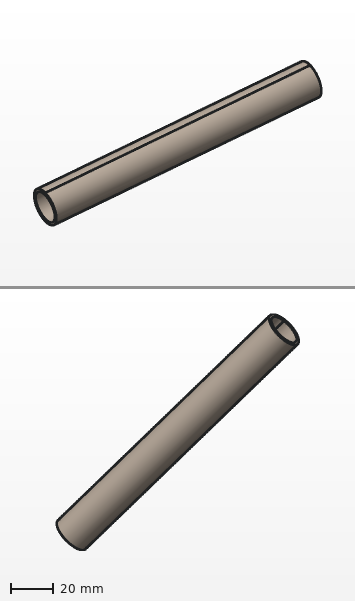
import cadquery as cq

tube_length = 152.4
outer_diameter = 19.02
wall_thickness = 1.57
seam_gap = 0.1

outer_radius = outer_diameter / 2
inner_radius = outer_radius - wall_thickness


def make_tube():
    """Hollow cylinder along Y, centred on the origin."""
    return (
        cq.Workplane("XZ", origin=(0, tube_length / 2, 0))
        .circle(outer_radius)
        .circle(inner_radius)
        .extrude(tube_length)
    )


def make_seam_cutter():
    """Thin block, from the axis upward, that parts the top wall over the whole length."""
    return cq.Workplane("XY").box(
        seam_gap, tube_length, outer_radius, centered=(True, True, False)
    )


result = make_tube().cut(make_seam_cutter())